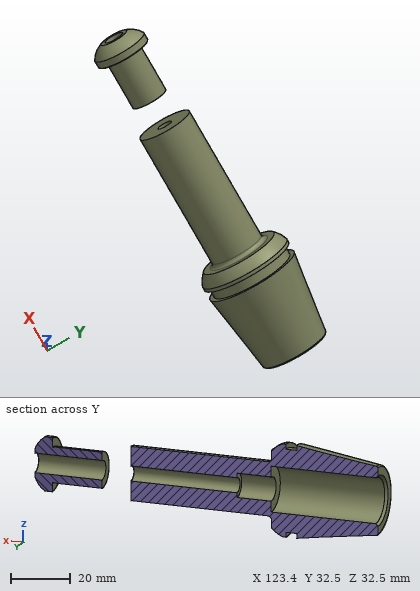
import cadquery as cq

total_length = 123.4
shank_diameter = 19.0

head_diameter = 32.5
nose_diameter = 24.2
nose_chamfer = 0.5
groove_diameter = 29.1
groove_start = 29.4
groove_end = 33.1
collar_end = 34.3
dome_end = 38.4
dome_mid_x = 36.7
dome_mid_diameter = 30.2
dome_end_diameter = 27.2
shank_fillet = 1.5
handle_length = 88.9
socket_diameter = 15.8
socket_depth = 38.4
socket_chamfer = 0.9
counterbore_diameter = 8.3
counterbore_depth = 12.3
handle_bore_diameter = 5.0

screw_start = 99.2
stem_diameter = 12.7
relief_diameter = 12.5
relief_width = 0.4
screw_head_start = 117.0
screw_head_chamfer = 0.2
screw_dome_start = 119.7
screw_dome_mid_x = 122.2
screw_dome_mid_diameter = 14.7
screw_tip_diameter = 9.9
screw_bore_diameter = 6.7


def x_cylinder(start, end, diameter):
    """Cylinder along X between two stations."""
    return cq.Workplane("YZ").workplane(offset=start).circle(diameter / 2).extrude(end - start)


def revolve_about_x(profile):
    """Full turn of a closed XY profile about the X axis."""
    return profile.close().revolve(360, (0, 0, 0), (1, 0, 0))


def make_handle():
    head_radius = head_diameter / 2
    shank_radius = shank_diameter / 2
    nose_radius = nose_diameter / 2
    groove_radius = groove_diameter / 2
    body = revolve_about_x(
        cq.Workplane("XY")
        .moveTo(0, 0)
        .lineTo(0, nose_radius - nose_chamfer)
        .lineTo(nose_chamfer, nose_radius)
        .lineTo(groove_start, head_radius)
        .lineTo(groove_start, groove_radius)
        .lineTo(groove_end, groove_radius)
        .lineTo(groove_end, head_radius)
        .lineTo(collar_end, head_radius)
        .threePointArc((dome_mid_x, dome_mid_diameter / 2), (dome_end, dome_end_diameter / 2))
        .lineTo(dome_end, shank_radius + shank_fillet)
        .radiusArc((dome_end + shank_fillet, shank_radius), -shank_fillet)
        .lineTo(handle_length, shank_radius)
        .lineTo(handle_length, 0)
    )
    socket_radius = socket_diameter / 2
    socket = revolve_about_x(
        cq.Workplane("XY")
        .moveTo(0, 0)
        .lineTo(0, socket_radius + socket_chamfer)
        .lineTo(socket_chamfer, socket_radius)
        .lineTo(socket_depth, socket_radius)
        .lineTo(socket_depth, 0)
    )
    counterbore = x_cylinder(socket_depth, socket_depth + counterbore_depth, counterbore_diameter)
    bore = x_cylinder(socket_depth, handle_length, handle_bore_diameter)
    return body.cut(socket).cut(counterbore).cut(bore)


def make_screw():
    stem_radius = stem_diameter / 2
    relief_radius = relief_diameter / 2
    relief_start = screw_head_start - relief_width
    head_radius = shank_diameter / 2
    body = revolve_about_x(
        cq.Workplane("XY")
        .moveTo(screw_start, 0)
        .lineTo(screw_start, stem_radius)
        .lineTo(relief_start, stem_radius)
        .lineTo(relief_start, relief_radius)
        .lineTo(screw_head_start, relief_radius)
        .lineTo(screw_head_start, head_radius - screw_head_chamfer)
        .lineTo(screw_head_start + screw_head_chamfer, head_radius)
        .lineTo(screw_dome_start, head_radius)
        .threePointArc(
            (screw_dome_mid_x, screw_dome_mid_diameter / 2),
            (total_length, screw_tip_diameter / 2),
        )
        .lineTo(total_length, 0)
    )
    return body.cut(x_cylinder(screw_start, total_length, screw_bore_diameter))


handle = make_handle()
screw = make_screw()
result = cq.Compound.makeCompound([handle.val(), screw.val()])